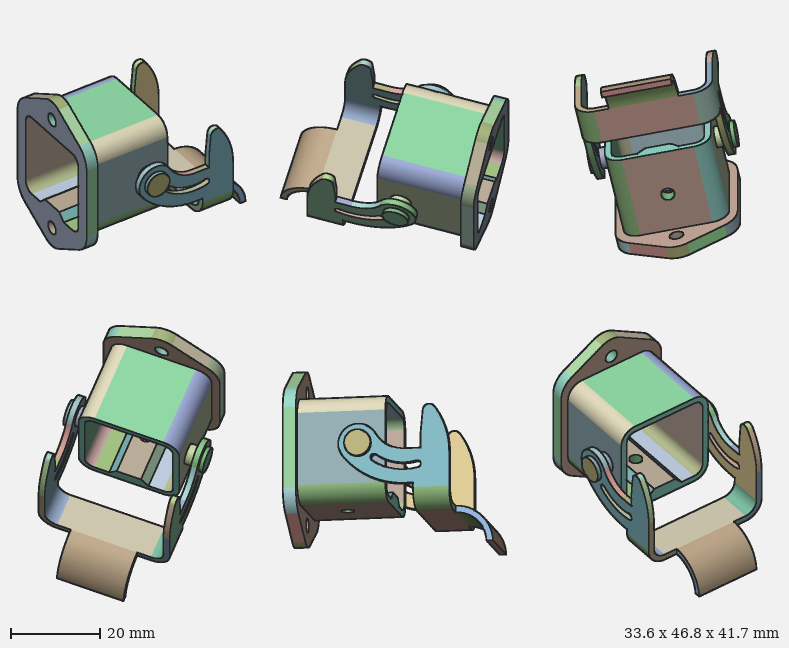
import cadquery as cq
import math


FLANGE_WIDTH = 28.0
FLANGE_THICKNESS = 3.0
SCREW_OFFSET = 14.995
SCREW_HOLE_DIAMETER = 3.2
FLANGE_END_RADIUS = 5.0
FLANGE_CORNER_RADIUS = 6.0
FLANGE_SLOPE = math.radians(30)

SLEEVE_WIDTH = 24.2
SLEEVE_WALL = 1.5
SLEEVE_RADIUS = 3.85
SLEEVE_REAR = 23.0
BORE_WIDTH = SLEEVE_WIDTH - 2 * SLEEVE_WALL
BORE_RADIUS = SLEEVE_RADIUS - SLEEVE_WALL
RIB_BASE_WIDTH = 9.45
RIB_TOP_WIDTH = 5.8
RIB_HEIGHT = 1.8
FLOOR_HOLE_DIAMETER = 3.0
FLOOR_HOLE_Y = 12.15

SHEET = 1.5
HEAD_THICKNESS = 1.05
OVERALL_WIDTH = 33.6
LEVER_OUTER_X = OVERALL_WIDTH / 2 - HEAD_THICKNESS
LEVER_INNER_X = LEVER_OUTER_X - SHEET
LEVER_REAR = 38.27
STRAP_FRONT = 30.05
STRAP_BOTTOM = -15.0
BEND_RADIUS = 3.0
U_BAR_HEIGHT = 28.07

PIVOT_Y = 17.5
PIN_DIAMETER = 4.8
HEAD_DIAMETER = 6.0
EYE_RADIUS = 4.5

ARM_BEND_Y = 28.07
ARM_TOP = -1.55
ARM_BOTTOM = -9.45
HOOK_FRONT = 31.75
HOOK_STRAIGHT_TOP = 1.9
HOOK_TOP = 8.4
HOOK_TIP_RADIUS = 1.5
HOOK_TIP_Y = 33.75
HOOK_BACK_RADIUS = 17.55
SLOT_WIDTH = 1.6
SLOT_LOWEST = -5.55
SLOT_FRONT_ANGLE = 36
SLOT_REAR_ANGLE = 14.5

TAB_WIDTH = 16.0
TAB_REAR = 46.8
TAB_BOTTOM = -21.75


def polar(centre, radius, angle):
    """Point at the given radius and angle (radians) from a centre."""
    return (centre[0] + radius * math.cos(angle), centre[1] + radius * math.sin(angle))


def direction(start, end):
    """Angle (radians) of the line from start to end."""
    return math.atan2(end[1] - start[1], end[0] - start[0])


def extrude_y(sketch, y_start, y_end):
    """Draw an outline on an XZ plane and extrude it between two Y positions."""
    plane = cq.Workplane("XZ", origin=(0, y_end, 0))
    return sketch(plane).extrude(y_end - y_start)


def make_flange():
    edge_distance = SCREW_OFFSET * math.cos(FLANGE_SLOPE) + FLANGE_END_RADIUS
    half_width = FLANGE_WIDTH / 2
    apex_z = edge_distance / math.cos(FLANGE_SLOPE)
    shoulder_z = apex_z - half_width * math.tan(FLANGE_SLOPE)
    hexagon = [
        (0, apex_z),
        (half_width, shoulder_z),
        (half_width, -shoulder_z),
        (0, -apex_z),
        (-half_width, -shoulder_z),
        (-half_width, shoulder_z),
    ]
    flange = extrude_y(lambda plane: plane.polyline(hexagon).close(), 0, FLANGE_THICKNESS)
    flange = flange.edges("|Y").edges(">Z or <Z").fillet(FLANGE_END_RADIUS)
    flange = flange.edges("|Y").edges(">X or <X").fillet(FLANGE_CORNER_RADIUS)
    screw_points = [(0, SCREW_OFFSET), (0, -SCREW_OFFSET)]
    holes = extrude_y(
        lambda plane: plane.pushPoints(screw_points).circle(SCREW_HOLE_DIAMETER / 2),
        0, FLANGE_THICKNESS,
    )
    return flange.cut(holes)


def make_square_bar(width, radius):
    """Square bar with rounded edges, as long as the sleeve."""
    bar = extrude_y(lambda plane: plane.rect(width, width), 0, SLEEVE_REAR)
    return bar.edges("|Y").fillet(radius)


def make_rib():
    floor = -BORE_WIDTH / 2
    root = floor - SLEEVE_WALL / 2
    outline = [
        (-RIB_BASE_WIDTH / 2, root),
        (-RIB_BASE_WIDTH / 2, floor),
        (-RIB_TOP_WIDTH / 2, floor + RIB_HEIGHT),
        (RIB_TOP_WIDTH / 2, floor + RIB_HEIGHT),
        (RIB_BASE_WIDTH / 2, floor),
        (RIB_BASE_WIDTH / 2, root),
    ]
    return extrude_y(lambda plane: plane.polyline(outline).close(), 0, SLEEVE_REAR)


def make_floor_hole():
    """Vertical hole through the rib and the sleeve floor."""
    return (
        cq.Workplane("XY", origin=(0, FLOOR_HOLE_Y, -SLEEVE_WIDTH / 2))
        .circle(FLOOR_HOLE_DIAMETER / 2)
        .extrude(SLEEVE_WALL + RIB_HEIGHT)
    )


def make_housing():
    housing = make_flange().union(make_square_bar(SLEEVE_WIDTH, SLEEVE_RADIUS))
    housing = housing.cut(make_square_bar(BORE_WIDTH, BORE_RADIUS))
    return housing.union(make_rib()).cut(make_floor_hole())


def make_lever_profile():
    """Side outline of the lever in the YZ plane, extruded over its full width."""
    pivot = (PIVOT_Y, 0)

    bend_y = ARM_BEND_Y - PIVOT_Y
    upper_radius = (bend_y**2 + ARM_TOP**2 - EYE_RADIUS**2) / (2 * (EYE_RADIUS - ARM_TOP))
    upper_centre = (ARM_BEND_Y, ARM_TOP + upper_radius)
    upper_eye_angle = direction(pivot, upper_centre)
    upper_end_angle = direction(upper_centre, pivot)
    upper_mid_angle = (upper_end_angle - math.pi / 2) / 2

    lower_radius = (bend_y**2 + ARM_BOTTOM**2 - EYE_RADIUS**2) / (2 * (-ARM_BOTTOM - EYE_RADIUS))
    lower_centre = (ARM_BEND_Y, ARM_BOTTOM + lower_radius)
    lower_eye_angle = direction(lower_centre, pivot)
    lower_mid_angle = (lower_eye_angle - math.pi / 2) / 2

    tip = (HOOK_TIP_Y, HOOK_TOP - HOOK_TIP_RADIUS)
    back_y = LEVER_REAR - HOOK_BACK_RADIUS
    back_to_tip = HOOK_BACK_RADIUS - HOOK_TIP_RADIUS
    back_centre = (back_y, tip[1] - math.sqrt(back_to_tip**2 - (tip[0] - back_y) ** 2))
    back_angle = direction(back_centre, tip)
    lean_start = (HOOK_FRONT, HOOK_STRAIGHT_TOP)
    lean_length = math.dist(lean_start, tip)
    lean_angle = direction(tip, lean_start) - math.acos(HOOK_TIP_RADIUS / lean_length)

    return (
        cq.Workplane("YZ", origin=(-LEVER_OUTER_X, 0, 0))
        .moveTo(LEVER_REAR, STRAP_BOTTOM)
        .lineTo(LEVER_REAR, back_centre[1])
        .threePointArc(
            polar(back_centre, HOOK_BACK_RADIUS, back_angle / 2),
            polar(back_centre, HOOK_BACK_RADIUS, back_angle),
        )
        .threePointArc(
            (tip[0], HOOK_TOP),
            polar(tip, HOOK_TIP_RADIUS, lean_angle),
        )
        .lineTo(*lean_start)
        .lineTo(HOOK_FRONT, ARM_TOP)
        .lineTo(ARM_BEND_Y, ARM_TOP)
        .threePointArc(
            polar(upper_centre, upper_radius, upper_mid_angle),
            polar(pivot, EYE_RADIUS, upper_eye_angle),
        )
        .threePointArc(
            (PIVOT_Y - EYE_RADIUS, 0),
            polar(pivot, EYE_RADIUS, lower_eye_angle),
        )
        .threePointArc(
            polar(lower_centre, lower_radius, lower_mid_angle),
            (ARM_BEND_Y, ARM_BOTTOM),
        )
        .lineTo(STRAP_FRONT, ARM_BOTTOM)
        .lineTo(STRAP_FRONT, STRAP_BOTTOM)
        .close()
        .extrude(2 * LEVER_OUTER_X)
        .cut(make_arm_slot(upper_centre))
    )


def make_arm_slot(centre):
    """Curved slot with round ends, concentric with the upper arm edge."""
    radius = centre[1] - SLOT_LOWEST
    straight_down = -math.pi / 2
    front = straight_down - math.radians(SLOT_FRONT_ANGLE)
    rear = straight_down + math.radians(SLOT_REAR_ANGLE)
    middle = (front + rear) / 2
    half_width = SLOT_WIDTH / 2
    end_turn = half_width / radius
    return (
        cq.Workplane("YZ", origin=(-LEVER_OUTER_X, 0, 0))
        .moveTo(*polar(centre, radius + half_width, front))
        .threePointArc(
            polar(centre, radius + half_width, middle),
            polar(centre, radius + half_width, rear),
        )
        .threePointArc(
            polar(centre, radius, rear + end_turn),
            polar(centre, radius - half_width, rear),
        )
        .threePointArc(
            polar(centre, radius - half_width, middle),
            polar(centre, radius - half_width, front),
        )
        .threePointArc(
            polar(centre, radius, front - end_turn),
            polar(centre, radius + half_width, front),
        )
        .close()
        .extrude(2 * LEVER_OUTER_X)
    )


def make_u_bar(half_width, bottom, radius):
    """Bar along Y that fills a U section with rounded lower corners."""
    bar = (
        cq.Workplane("XY", origin=(0, 0, bottom))
        .box(2 * half_width, TAB_REAR, U_BAR_HEIGHT, centered=(True, False, False))
    )
    return bar.edges("|Y and <Z").fillet(radius)


def make_tab():
    """Finger tab that curls down almost a quarter turn behind the strap, with a level end."""
    reach = TAB_REAR - LEVER_REAR
    drop = STRAP_BOTTOM + SHEET - TAB_BOTTOM
    outer_radius = (reach**2 + drop**2) / (2 * drop)
    inner_radius = outer_radius - SHEET
    centre = (LEVER_REAR, STRAP_BOTTOM - inner_radius)
    end_height = TAB_BOTTOM - centre[1]
    diagonal = math.pi / 4
    return (
        cq.Workplane("YZ", origin=(-TAB_WIDTH / 2, 0, 0))
        .moveTo(STRAP_FRONT, STRAP_BOTTOM)
        .lineTo(LEVER_REAR, STRAP_BOTTOM)
        .threePointArc(
            polar(centre, inner_radius, diagonal),
            polar(centre, inner_radius, math.asin(end_height / inner_radius)),
        )
        .lineTo(TAB_REAR, TAB_BOTTOM)
        .threePointArc(
            polar(centre, outer_radius, diagonal),
            (LEVER_REAR, STRAP_BOTTOM + SHEET),
        )
        .lineTo(STRAP_FRONT, STRAP_BOTTOM + SHEET)
        .close()
        .extrude(TAB_WIDTH)
    )


def make_lever():
    outside = make_u_bar(LEVER_OUTER_X, STRAP_BOTTOM, BEND_RADIUS + SHEET)
    inside = make_u_bar(LEVER_INNER_X, STRAP_BOTTOM + SHEET, BEND_RADIUS)
    return make_lever_profile().intersect(outside).cut(inside).union(make_tab())


def make_pin(side):
    """Pivot pin on one side (+1 or -1): a shank from the sleeve and a head outside the lever."""
    shank_start = SLEEVE_WIDTH / 2 - SLEEVE_WALL / 2
    shank = (
        cq.Workplane("YZ", origin=(side * shank_start, PIVOT_Y, 0))
        .circle(PIN_DIAMETER / 2)
        .extrude(side * (LEVER_OUTER_X - shank_start))
    )
    head = (
        cq.Workplane("YZ", origin=(side * LEVER_OUTER_X, PIVOT_Y, 0))
        .circle(HEAD_DIAMETER / 2)
        .extrude(side * HEAD_THICKNESS)
    )
    return shank.union(head)


result = make_housing().union(make_lever())
for pin_side in (1, -1):
    result = result.union(make_pin(pin_side))